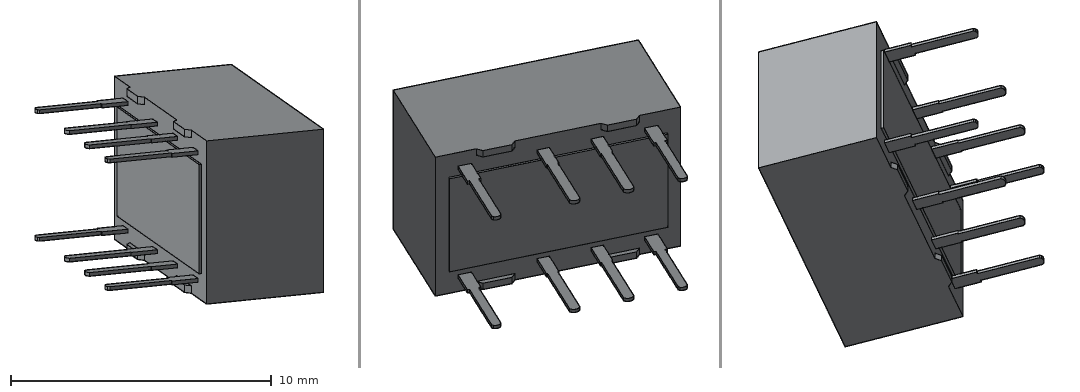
import cadquery as cq

TOTAL_DEPTH = 8.5
BODY_WIDTH = 10.0
BODY_DEPTH = 4.8
BODY_HEIGHT = 6.5
PIN_LENGTH = TOTAL_DEPTH - BODY_DEPTH

PAD_WIDTH = 8.9
PAD_HEIGHT = 4.35
PAD_RISE = 0.1

FOOT_ROOT_WIDTH = 1.58
FOOT_TIP_WIDTH = 1.18
FOOT_RISE = 0.2
FOOT_THICKNESS = 0.3
FOOT_X = 2.54

PIN_THICKNESS = 0.15
PIN_ROW_Z = 2.54
SHOULDER_LENGTH = 1.07
TIP_LENGTH = 0.11
NOSE_WIDTH = 0.28
NOSE_RISE = 0.04
OUTER_SHOULDER_WIDTH = 0.55
OUTER_LEG_WIDTH = 0.38
INNER_SHOULDER_WIDTH = 0.5
INNER_LEG_WIDTH = 0.42
OUTER_PIN_X = (-3.8, 3.8)
INNER_PIN_X = (-0.6, 1.6)


def make_body():
    """Plain block with its pin face on the plane Y = 0."""
    return cq.Workplane("XY").box(BODY_WIDTH, BODY_DEPTH, BODY_HEIGHT).translate((0, BODY_DEPTH / 2, 0))


def make_pad():
    """Rectangular pad standing out from the pin face."""
    return cq.Workplane("XZ").rect(PAD_WIDTH, PAD_HEIGHT).extrude(PAD_RISE)


def make_foot(x, z_bottom):
    """Trapezoidal foot, narrowing away from the pin face."""
    root = FOOT_ROOT_WIDTH / 2
    tip = FOOT_TIP_WIDTH / 2
    outline = [
        (x - root, 0),
        (x - tip, -FOOT_RISE),
        (x + tip, -FOOT_RISE),
        (x + root, 0),
    ]
    foot_plane = cq.Workplane("XY", origin=(0, 0, z_bottom))
    return foot_plane.polyline(outline).close().extrude(FOOT_THICKNESS)


def make_pin(x, z, shoulder_width, leg_width):
    """Flat stepped pin with a bevelled tip and a slightly domed nose."""
    shoulder = shoulder_width / 2
    leg = leg_width / 2
    nose = NOSE_WIDTH / 2
    bevel_y = TIP_LENGTH - PIN_LENGTH
    nose_y = NOSE_RISE - PIN_LENGTH
    return (
        cq.Workplane("XY", origin=(0, 0, z - PIN_THICKNESS / 2))
        .moveTo(x - shoulder, 0)
        .lineTo(x - shoulder, -SHOULDER_LENGTH)
        .lineTo(x - leg, -SHOULDER_LENGTH)
        .lineTo(x - leg, bevel_y)
        .lineTo(x - nose, nose_y)
        .threePointArc((x, -PIN_LENGTH), (x + nose, nose_y))
        .lineTo(x + leg, bevel_y)
        .lineTo(x + leg, -SHOULDER_LENGTH)
        .lineTo(x + shoulder, -SHOULDER_LENGTH)
        .lineTo(x + shoulder, 0)
        .close()
        .extrude(PIN_THICKNESS)
    )


result = make_body().union(make_pad())

for foot_x in (-FOOT_X, FOOT_X):
    for foot_z in (-BODY_HEIGHT / 2, BODY_HEIGHT / 2 - FOOT_THICKNESS):
        result = result.union(make_foot(foot_x, foot_z))

for pin_z in (-PIN_ROW_Z, PIN_ROW_Z):
    for pin_x in OUTER_PIN_X:
        result = result.union(make_pin(pin_x, pin_z, OUTER_SHOULDER_WIDTH, OUTER_LEG_WIDTH))
    for pin_x in INNER_PIN_X:
        result = result.union(make_pin(pin_x, pin_z, INNER_SHOULDER_WIDTH, INNER_LEG_WIDTH))